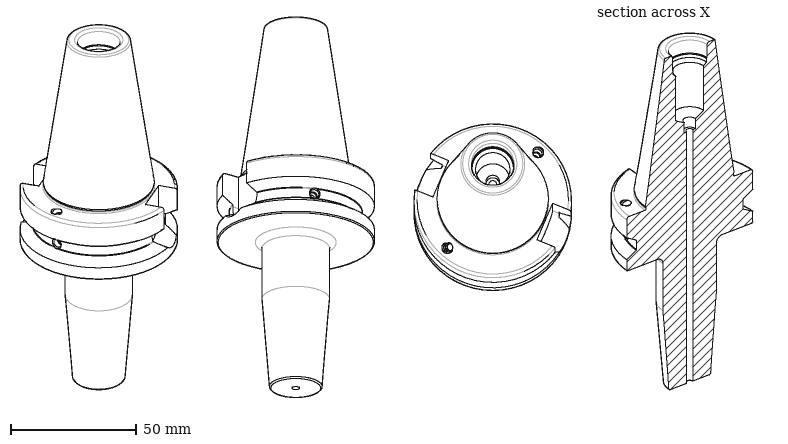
import cadquery as cq
import math

TOTAL_LENGTH = 155.4
NOSE_CONE_TOP = 38.4
FLANGE_BOTTOM = 63.0
GROOVE_BOTTOM = 71.3
GROOVE_TOP = 75.7
FLANGE_TOP = 88.3
GAUGE_PLANE = 90.0

NOSE_RADIUS = 10.5
NOSE_CHAMFER = 0.6
SHANK_RADIUS = 13.5
FLANGE_DIAMETER = 63.0
FLANGE_RADIUS = FLANGE_DIAMETER / 2
FLANGE_FILLET = 2.6
FLANGE_BOTTOM_CHAMFER = 0.5
FLANGE_TOP_FILLET = 1.2
GROOVE_RADIUS = 26.5
GROOVE_FILLET = 0.3
GROOVE_WALL_ANGLE = 30.0
TAPER_BASE_RADIUS = 22.2
NECK_RADIUS = 21.9
NECK_CHAMFER = 0.8
NECK_FILLET = 0.5
TAPER_TOP_FILLET = 0.8
TAPER_RATIO = 7 / 24

MOUTH_FILLET = 1.1
COUNTERBORE_RADIUS = 8.5
COUNTERBORE_DEPTH = 7.1
THREAD_RADIUS = 8.2
THREAD_DEPTH = 9.0
DRILL_RADIUS = 6.8
DRILL_DEPTH = 31.1
DRILL_POINT_SLOPE = 30.0
PILOT_DIAMETER = 5.5
PILOT_RADIUS = PILOT_DIAMETER / 2
PILOT_DEPTH = 4.7
COOLANT_RADIUS = 1.5

SLOT_WIDTH = 16.2
SLOT_FLOOR = 22.5
SLOT_LOWEST = 66.7

PLUG_ANGLE = 20.0
PLUG_RADIUS = 2.3
PLUG_RECESS = 2.8
PLUG_CHAMFER = 0.5
SOCKET_RADIUS = 1.4
SOCKET_DEPTH = 2.3
TOP_PLUG_DISTANCE = 26.4
TOP_PLUG_TILT = 20.0


def circle_at(radius, height):
    """Selector for the circular edge of a given radius and height about the Z axis."""
    margin = 0.08
    bottom = height - margin
    top = height + margin
    outer = radius + margin
    inner = radius - margin
    outer_box = cq.selectors.BoxSelector((-outer, -outer, bottom), (outer, outer, top), boundingbox=True)
    inner_box = cq.selectors.BoxSelector((-inner, -inner, bottom), (inner, inner, top), boundingbox=True)
    return outer_box - inner_box


def make_body():
    """Revolve the outer silhouette of nose, flange and taper, then round its edges."""
    wall_rise = (FLANGE_RADIUS - GROOVE_RADIUS) * math.tan(math.radians(GROOVE_WALL_ANGLE))
    taper_end = TAPER_BASE_RADIUS - (TOTAL_LENGTH - GAUGE_PLANE) * TAPER_RATIO / 2
    profile = (
        cq.Workplane("XZ")
        .lineTo(NOSE_RADIUS - NOSE_CHAMFER, 0)
        .lineTo(NOSE_RADIUS, NOSE_CHAMFER)
        .lineTo(SHANK_RADIUS, NOSE_CONE_TOP)
        .lineTo(SHANK_RADIUS, FLANGE_BOTTOM)
        .lineTo(FLANGE_RADIUS - FLANGE_BOTTOM_CHAMFER, FLANGE_BOTTOM)
        .lineTo(FLANGE_RADIUS, FLANGE_BOTTOM + FLANGE_BOTTOM_CHAMFER)
        .lineTo(FLANGE_RADIUS, GROOVE_BOTTOM - wall_rise)
        .lineTo(GROOVE_RADIUS, GROOVE_BOTTOM)
        .lineTo(GROOVE_RADIUS, GROOVE_TOP)
        .lineTo(FLANGE_RADIUS, GROOVE_TOP + wall_rise)
        .lineTo(FLANGE_RADIUS, FLANGE_TOP)
        .lineTo(NECK_RADIUS, FLANGE_TOP)
        .lineTo(NECK_RADIUS, GAUGE_PLANE - NECK_CHAMFER)
        .lineTo(TAPER_BASE_RADIUS, GAUGE_PLANE)
        .lineTo(taper_end, TOTAL_LENGTH)
        .lineTo(0, TOTAL_LENGTH)
        .close()
    )
    body = profile.revolve(360, (0, 0, 0), (0, 1, 0))
    rounded_edges = (
        (SHANK_RADIUS, FLANGE_BOTTOM, FLANGE_FILLET),
        (GROOVE_RADIUS, GROOVE_BOTTOM, GROOVE_FILLET),
        (GROOVE_RADIUS, GROOVE_TOP, GROOVE_FILLET),
        (FLANGE_RADIUS, FLANGE_TOP, FLANGE_TOP_FILLET),
        (NECK_RADIUS, FLANGE_TOP, NECK_FILLET),
        (taper_end, TOTAL_LENGTH, TAPER_TOP_FILLET),
    )
    for radius, height, fillet in rounded_edges:
        body = body.edges(circle_at(radius, height)).fillet(fillet)
    return body


def make_bore():
    """Revolve the stepped bore that opens at the top and runs through to the nose."""
    counterbore_floor = TOTAL_LENGTH - COUNTERBORE_DEPTH
    thread_end = TOTAL_LENGTH - THREAD_DEPTH
    drill_end = TOTAL_LENGTH - DRILL_DEPTH
    point_drop = (DRILL_RADIUS - PILOT_RADIUS) * math.tan(math.radians(DRILL_POINT_SLOPE))
    pilot_top = drill_end - point_drop
    pilot_end = pilot_top - PILOT_DEPTH
    mouth_mid = MOUTH_FILLET * (1 - math.sqrt(0.5))
    profile = (
        cq.Workplane("XZ")
        .lineTo(COOLANT_RADIUS, 0)
        .lineTo(COOLANT_RADIUS, pilot_end)
        .lineTo(PILOT_RADIUS, pilot_end)
        .lineTo(PILOT_RADIUS, pilot_top)
        .lineTo(DRILL_RADIUS, drill_end)
        .lineTo(DRILL_RADIUS, thread_end - (THREAD_RADIUS - DRILL_RADIUS))
        .lineTo(THREAD_RADIUS, thread_end)
        .lineTo(THREAD_RADIUS, counterbore_floor - (COUNTERBORE_RADIUS - THREAD_RADIUS))
        .lineTo(COUNTERBORE_RADIUS, counterbore_floor)
        .lineTo(COUNTERBORE_RADIUS, TOTAL_LENGTH - MOUTH_FILLET)
        .threePointArc(
            (COUNTERBORE_RADIUS + mouth_mid, TOTAL_LENGTH - mouth_mid),
            (COUNTERBORE_RADIUS + MOUTH_FILLET, TOTAL_LENGTH),
        )
        .lineTo(0, TOTAL_LENGTH)
        .close()
    )
    return profile.revolve(360, (0, 0, 0), (0, 1, 0))


def make_drive_slot():
    """Round-bottomed slot on the +X side, open outward and upward."""
    half_width = SLOT_WIDTH / 2
    arc_centre = SLOT_LOWEST + half_width
    return (
        cq.Workplane("YZ", origin=(SLOT_FLOOR, 0, 0))
        .moveTo(-half_width, FLANGE_TOP)
        .lineTo(-half_width, arc_centre)
        .threePointArc((0, SLOT_LOWEST), (half_width, arc_centre))
        .lineTo(half_width, FLANGE_TOP)
        .close()
        .extrude(FLANGE_RADIUS)
    )


def make_plug_hole(mouth, inward):
    """Blind stepped hole drilled from mouth along inward: chamfered recess, then socket."""
    inner_radius = PLUG_RADIUS - PLUG_CHAMFER
    start = mouth - inward * PLUG_RADIUS
    entry = cq.Solid.makeCylinder(PLUG_RADIUS, PLUG_RADIUS, start, inward)
    chamfer = cq.Solid.makeCone(PLUG_RADIUS, inner_radius, PLUG_CHAMFER, mouth, inward)
    recess = cq.Solid.makeCylinder(inner_radius, PLUG_RECESS, mouth, inward)
    socket = cq.Solid.makeCylinder(SOCKET_RADIUS, PLUG_RECESS + SOCKET_DEPTH, mouth, inward)
    return cq.Workplane(entry.fuse(chamfer, recess, socket))


def make_plug_holes():
    """Groove plug and tilted flange-face plug on the -Y side."""
    angle = math.radians(PLUG_ANGLE)
    tilt = math.radians(TOP_PLUG_TILT)
    outward = cq.Vector(-math.sin(angle), -math.cos(angle), 0)
    up = cq.Vector(0, 0, 1)
    groove_mouth = outward * GROOVE_RADIUS + up * ((GROOVE_BOTTOM + GROOVE_TOP) / 2)
    face_mouth = outward * TOP_PLUG_DISTANCE + up * FLANGE_TOP
    face_inward = up * -math.cos(tilt) - outward * math.sin(tilt)
    groove_hole = make_plug_hole(groove_mouth, outward * -1)
    return groove_hole.union(make_plug_hole(face_mouth, face_inward))


result = make_body().cut(make_bore())
for turn in (0, 180):
    for cutter in (make_drive_slot(), make_plug_holes()):
        result = result.cut(cutter.rotate((0, 0, 0), (0, 0, 1), turn))